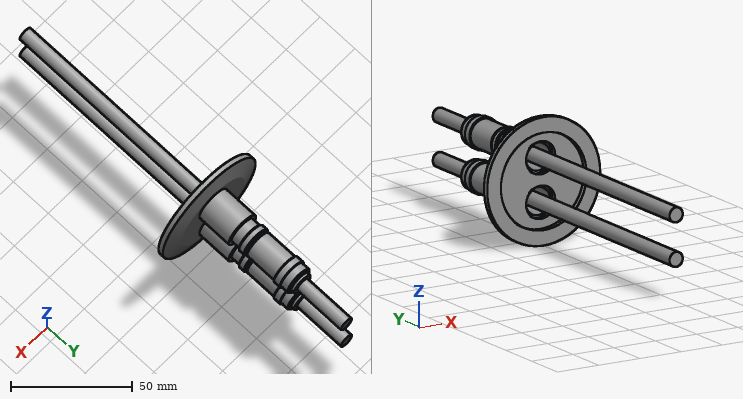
import cadquery as cq


flange_dia = 54.9
rim_thickness = 2.5
flange_thickness = 4.8
flange_back_dia = 37.2
recess_dia = 41.6
recess_depth = 2.4

conductor_spacing = 19.0
rod_dia = 6.5
rod_length = 184.2
rod_front_y = -103.0

sleeve_end_y = 21.5
front_ring_start_y = 26.1
neck_end_y = 30.5
rear_ring_start_y = 46.4
cap_end_y = 54.3
gland_end_y = 56.0
ring_width = 3.5

sleeve_dia = 16.2
neck_dia = 12.7
body_dia = 13.0
ring_dia = 14.2
gland_dia = 9.8
cap_chamfer = 0.5
ring_chamfer = 0.4

mouth_dia = 14.2
mouth_depth = 2.2
bore_dia = 12.0
insulator_depth = 14.7
insulator_chamfer = 0.4
clearance_dia = 7.4
clearance_depth = 16.2


def cylinder(diameter, start_y, end_y, z=0.0):
    """Solid cylinder along +Y from start_y to end_y, centred at height z."""
    axis_plane = cq.Plane(origin=(0, start_y, z), xDir=(1, 0, 0), normal=(0, 1, 0))
    return cq.Workplane(axis_plane).circle(diameter / 2).extrude(end_y - start_y)


def make_flange():
    """Rim with a conical clamping back and a shallow round recess in front."""
    half_profile = [
        (0, 0),
        (flange_dia / 2, 0),
        (flange_dia / 2, rim_thickness),
        (flange_back_dia / 2, flange_thickness),
        (0, flange_thickness),
    ]
    disc = cq.Workplane("XY").polyline(half_profile).close().revolve(360, (0, 0), (0, 1))
    return disc.cut(cylinder(recess_dia, 0, recess_depth))


def make_connector(z):
    """Sleeve, banded body, end cap and gland of one connector."""
    connector = cylinder(sleeve_dia, recess_depth, sleeve_end_y, z)
    connector = connector.union(cylinder(neck_dia, sleeve_end_y, neck_end_y, z))
    body = cylinder(body_dia, neck_end_y, cap_end_y, z).faces(">Y").chamfer(cap_chamfer)
    connector = connector.union(body)
    front_ring = cylinder(ring_dia, front_ring_start_y, front_ring_start_y + ring_width, z)
    connector = connector.union(front_ring.faces("<Y or >Y").chamfer(ring_chamfer))
    rear_ring = cylinder(ring_dia, rear_ring_start_y, rear_ring_start_y + ring_width, z)
    connector = connector.union(rear_ring)
    return connector.union(cylinder(gland_dia, cap_end_y, gland_end_y, z))


def make_bore(z):
    """Stepped cutter ending at the bevelled face of the insulator around the conductor."""
    mouth = cylinder(mouth_dia, recess_depth, recess_depth + mouth_depth, z)
    insulator_y = recess_depth + insulator_depth
    insulator = cylinder(bore_dia, insulator_y, sleeve_end_y, z).faces("<Y").chamfer(insulator_chamfer)
    bore = cylinder(bore_dia, recess_depth, insulator_y + insulator_chamfer, z).cut(insulator)
    clearance = cylinder(clearance_dia, recess_depth, recess_depth + clearance_depth, z)
    return mouth.union(bore).union(clearance)


result = make_flange()
for conductor_z in (-conductor_spacing / 2, conductor_spacing / 2):
    result = result.union(make_connector(conductor_z))
    result = result.cut(make_bore(conductor_z))
    result = result.union(cylinder(rod_dia, rod_front_y, rod_front_y + rod_length, conductor_z))